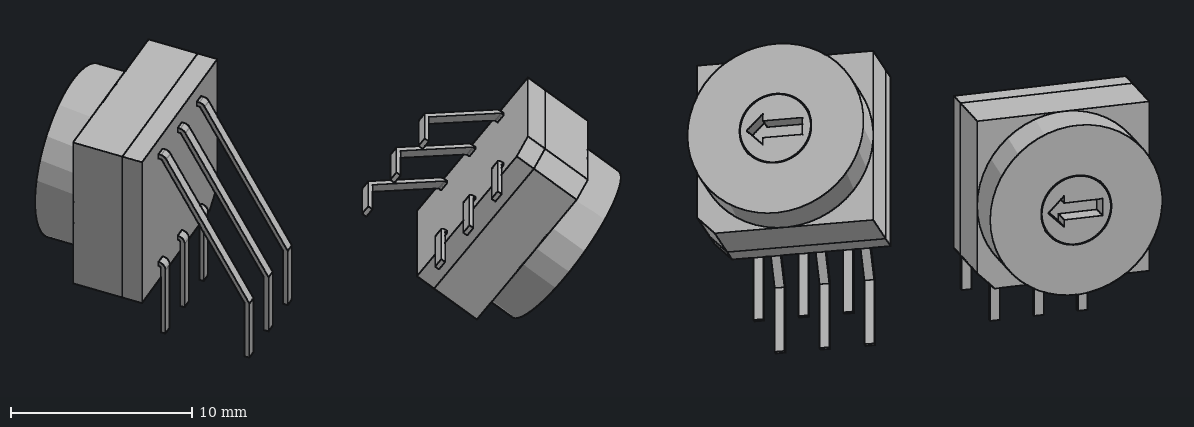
import cadquery as cq
import math


side = 10.0
dial_thickness = 2.31
housing_thickness = 2.99
cover_thickness = 1.2
corner_chamfer = 1.0
housing_front = dial_thickness
cover_front = housing_front + housing_thickness
cover_back = cover_front + cover_thickness

dial_diameter = side
dial_bore_diameter = 4.1
rotor_diameter = 4.0

arrow_depth = 1.0
arrow_tip = 1.63
arrow_shoulder = 0.71
arrow_tail = -1.52
arrow_head_width = 1.82
arrow_shaft_width = 0.99

lead_width = 0.56
lead_pitch = 2.55
lead_rows = (-1, 0, 1)
overall_height = 13.6
lead_bottom = side / 2 - overall_height

long_lead_thickness = 0.3
long_lead_top = 3.97
long_lead_shoulder_reach = 0.35
long_lead_reach = 5.52
long_lead_elbow_height = -4.76
long_lead_bend_radius = 0.38

short_lead_thickness = 0.27
short_lead_top = -3.66
short_lead_reach = 0.42
short_lead_bend_radius = 0.41


def block(front, thickness):
    """Square plate with its lower +Y corner cut off."""
    half = side / 2
    return (
        cq.Workplane("YZ", origin=(front, 0, 0))
        .moveTo(-half, -half)
        .lineTo(half - corner_chamfer, -half)
        .lineTo(half, -half + corner_chamfer)
        .lineTo(half, half)
        .lineTo(-half, half)
        .close()
        .extrude(thickness)
    )


def make_dial():
    return (
        cq.Workplane("YZ")
        .circle(dial_diameter / 2)
        .circle(dial_bore_diameter / 2)
        .extrude(dial_thickness)
    )


def make_rotor():
    head = arrow_head_width / 2
    shaft = arrow_shaft_width / 2
    arrow = (
        cq.Workplane("YZ")
        .polyline([
            (arrow_tip, 0),
            (arrow_shoulder, head),
            (arrow_shoulder, shaft),
            (arrow_tail, shaft),
            (arrow_tail, -shaft),
            (arrow_shoulder, -shaft),
            (arrow_shoulder, -head),
        ])
        .close()
        .extrude(arrow_depth)
    )
    return cq.Workplane("YZ").circle(rotor_diameter / 2).extrude(dial_thickness).cut(arrow)


def inner_corner(before, corner, after, thickness):
    """Mitre point of a strip bending clockwise, at the given thickness inside its outer corner."""
    angle_in = math.atan2(corner[1] - before[1], corner[0] - before[0])
    angle_out = math.atan2(after[1] - corner[1], after[0] - corner[0])
    middle = (angle_in + angle_out) / 2
    distance = thickness / math.cos((angle_out - angle_in) / 2)
    return (
        corner[0] + distance * math.sin(middle),
        corner[1] - distance * math.cos(middle),
    )


def make_lead(outer_path, thickness, bend_radius, y):
    """Flat strip leaving the cover level, bent downwards, with its first bend rounded.

    outer_path lists the (X, Z) corners of the upper, outer face from cover to tip.
    """
    inner_path = [(outer_path[0][0], outer_path[0][1] - thickness)]
    for before, corner, after in zip(outer_path, outer_path[1:], outer_path[2:]):
        inner_path.append(inner_corner(before, corner, after, thickness))
    inner_path.append((outer_path[-1][0] - thickness, outer_path[-1][1]))

    strip = (
        cq.Workplane("XZ", origin=(0, y + lead_width / 2, 0))
        .polyline(outer_path + inner_path[::-1])
        .close()
        .extrude(lead_width)
    )
    bends = ((outer_path[1], bend_radius), (inner_path[1], bend_radius - thickness))
    for (x, z), radius in bends:
        strip = strip.edges(cq.selectors.NearestToPointSelector((x, y, z))).fillet(radius)
    return strip.val()


def make_long_lead(y):
    path = [
        (cover_back, long_lead_top),
        (cover_back + long_lead_shoulder_reach, long_lead_top),
        (cover_back + long_lead_reach, long_lead_elbow_height),
        (cover_back + long_lead_reach, lead_bottom),
    ]
    return make_lead(path, long_lead_thickness, long_lead_bend_radius, y)


def make_short_lead(y):
    path = [
        (cover_back, short_lead_top),
        (cover_back + short_lead_reach, short_lead_top),
        (cover_back + short_lead_reach, lead_bottom),
    ]
    return make_lead(path, short_lead_thickness, short_lead_bend_radius, y)


dial = make_dial()
rotor = make_rotor()
housing = block(housing_front, housing_thickness)
cover = block(cover_front, cover_thickness)
long_leads = [make_long_lead(row * lead_pitch) for row in lead_rows]
short_leads = [make_short_lead(row * lead_pitch) for row in lead_rows]

result = cq.Compound.makeCompound([
    dial.val(),
    rotor.val(),
    housing.val(),
    cover.val(),
    *long_leads,
    *short_leads,
])